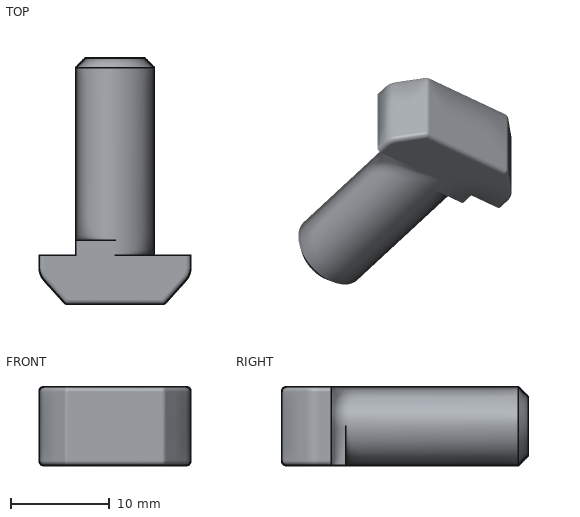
import cadquery as cq

total_length = 25.0
shank_diameter = 8.0
shank_tip_chamfer = 1.0
head_width = 15.4
head_depth = 5.0
front_face_width = 10.0
shoulder_y = 3.0
shoulder_radius = 2.0
edge_radius = 0.5
lug_length = 1.5

shank_radius = shank_diameter / 2
half_width = head_width / 2
half_front = front_face_width / 2


def make_head():
    """Hammer head: tapered towards the front at Y = 0, with a sharp rear edge."""
    outline = [
        (-half_front, 0),
        (half_front, 0),
        (half_width, shoulder_y),
        (half_width, head_depth),
        (-half_width, head_depth),
        (-half_width, shoulder_y),
    ]
    head = (
        cq.Workplane("XY")
        .workplane(offset=-shank_radius)
        .polyline(outline)
        .close()
        .extrude(shank_diameter)
    )
    for side in (-1, 1):
        shoulder = cq.selectors.NearestToPointSelector((side * half_width, shoulder_y, 0))
        head = head.edges(shoulder).fillet(shoulder_radius)

    return head.edges("(|Z and <Y) or ((<Z or >Z) except >Y)").fillet(edge_radius)


def make_shank():
    """Round shank along +Y from the back of the head, chamfered at its tip."""
    return (
        cq.Workplane("XZ", origin=(0, head_depth, 0))
        .circle(shank_radius)
        .extrude(-(total_length - head_depth))
        .faces(">Y")
        .chamfer(shank_tip_chamfer)
    )


def make_lug(side):
    """Square stop filling one quadrant around the shank, behind the head."""
    return cq.Workplane("XY").box(shank_radius, lug_length, shank_radius).translate(
        (side * shank_radius / 2, head_depth + lug_length / 2, -side * shank_radius / 2)
    )


result = make_head().union(make_shank())

for side in (-1, 1):
    result = result.union(make_lug(side))